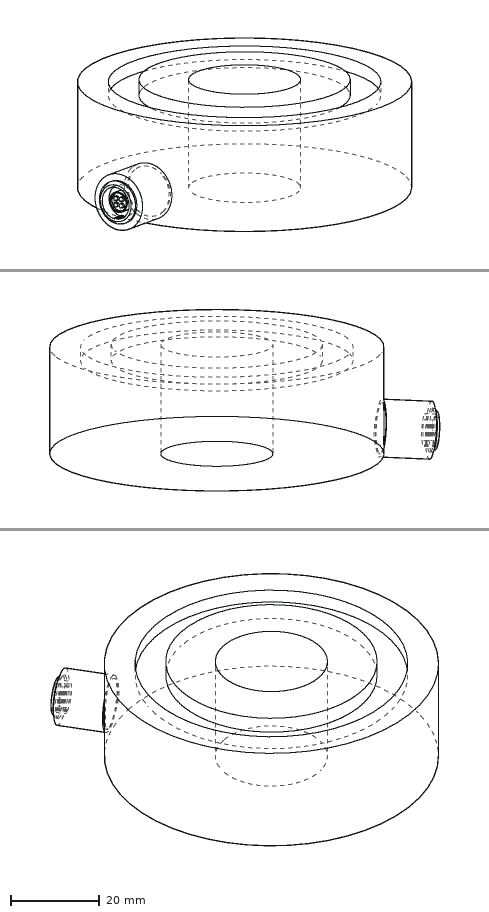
import cadquery as cq

body_diameter = 75.7
body_height = 24.8
bore_diameter = 25.4
hub_diameter = 47.8
hub_rise = 0.5
groove_diameter = 61.7
groove_depth = 3.2

overall_length = 88.4
connector_height = 7.6
sleeve_diameter = 13.2
sleeve_length = 11.5
neck_diameter = 11.7
neck_embed = 1.8
plug_diameter = 10.0
plug_chamfer = 0.7
socket_diameter = 7.4
socket_depth = 2.65
key_width = 0.5
key_height = 0.3
insert_diameter = 4.8
insert_length = 1.6
contact_recess = 0.5
contact_rim = 0.3
contact_diameter = 1.1
contact_circle_radius = 1.1
contact_start_angle = 45
contact_count = 4

body_radius = body_diameter / 2
sleeve_end = body_radius + sleeve_length
plug_end = overall_length - body_radius
plug_length = plug_end - sleeve_end
socket_floor = plug_end - socket_depth
insert_end = socket_floor + insert_length
contact_floor = insert_end - contact_recess


def connector_plane(reach):
    """Plane facing -Y on the connector axis, at a distance from the ring axis."""
    return cq.Workplane("XZ", origin=(0, -reach, connector_height))


def make_body():
    """Ring with a top groove around a slightly raised hub."""
    body = cq.Workplane("XY").circle(body_radius).extrude(body_height)
    groove_floor = body_height - groove_depth
    groove = (
        cq.Workplane("XY", origin=(0, 0, groove_floor))
        .circle(groove_diameter / 2)
        .extrude(groove_depth)
    )
    hub = cq.Workplane("XY").circle(hub_diameter / 2).extrude(body_height + hub_rise)
    bore = cq.Workplane("XY").circle(bore_diameter / 2).extrude(body_height + hub_rise)
    return body.cut(groove).union(hub).cut(bore)


def make_shell():
    """Neck, sleeve and chamfered plug with an open keyed socket."""
    neck = (
        connector_plane(body_radius - neck_embed)
        .circle(neck_diameter / 2)
        .extrude(neck_embed)
    )
    sleeve = connector_plane(body_radius).circle(sleeve_diameter / 2).extrude(sleeve_length)
    plug = (
        connector_plane(sleeve_end)
        .circle(plug_diameter / 2)
        .extrude(plug_length)
        .faces("<Y")
        .chamfer(plug_chamfer)
    )
    socket = connector_plane(socket_floor).circle(socket_diameter / 2).extrude(socket_depth)
    key = (
        connector_plane(socket_floor)
        .center(0, -socket_diameter / 2)
        .rect(key_width, 2 * key_height)
        .extrude(socket_depth)
    )
    return neck.union(sleeve).union(plug).cut(socket).union(key)


def make_insert():
    """Contact carrier with a shallow cup holding four contacts."""
    carrier = connector_plane(socket_floor).circle(insert_diameter / 2).extrude(insert_length)
    cup = (
        connector_plane(contact_floor)
        .circle(insert_diameter / 2 - contact_rim)
        .extrude(contact_recess)
    )
    contacts = (
        connector_plane(contact_floor)
        .polarArray(contact_circle_radius, contact_start_angle, 360, contact_count)
        .circle(contact_diameter / 2)
        .extrude(contact_recess)
    )
    return carrier.cut(cup).union(contacts)


result = make_body().union(make_shell()).union(make_insert())